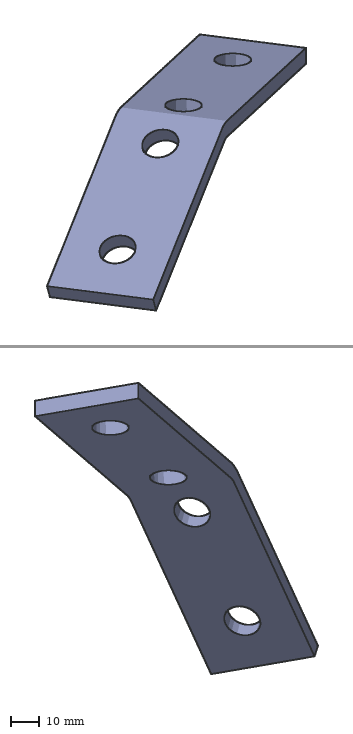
import cadquery as cq
import math

width = 40.0
thickness = 6.0
bend_angle = 30.0
inner_radius = 6.0
outer_radius = inner_radius + thickness
inside_leg = 81.5

hole_diameter = 13.0
end_to_hole = 20.5
hole_pitch = 50.0

half_bend = math.radians(bend_angle / 2)
straight = inside_leg - inner_radius * math.tan(half_bend)
hole_distances = (end_to_hole, end_to_hole + hole_pitch)

bend_axis_z = -outer_radius


def make_leg():
    """Level leg with its two holes, running from the bend start to the free end."""
    plate = cq.Workplane("XY").box(width, straight, thickness, centered=(True, False, False))
    plate = plate.translate((0, 0, -thickness))
    hole_centers = [(0, straight - distance) for distance in hole_distances]
    holes = (
        cq.Workplane("XY")
        .pushPoints(hole_centers)
        .circle(hole_diameter / 2)
        .extrude(-thickness)
    )
    return plate.cut(holes)


def bend_point(radius, angle_degrees):
    """Point (Y, Z) on an arc about the bend axis, turned from the bend start toward -Y."""
    angle = math.radians(angle_degrees)
    return (-radius * math.sin(angle), bend_axis_z + radius * math.cos(angle))


def make_bend():
    """Curved sector that joins the two legs."""
    return (
        cq.Workplane("YZ")
        .moveTo(*bend_point(outer_radius, 0))
        .threePointArc(bend_point(outer_radius, bend_angle / 2), bend_point(outer_radius, bend_angle))
        .lineTo(*bend_point(inner_radius, bend_angle))
        .threePointArc(bend_point(inner_radius, bend_angle / 2), bend_point(inner_radius, 0))
        .close()
        .extrude(width / 2, both=True)
    )


level_leg = make_leg()
sloping_leg = make_leg().mirror("XZ").rotate((0, 0, bend_axis_z), (1, 0, bend_axis_z), bend_angle)

result = level_leg.union(make_bend()).union(sloping_leg)